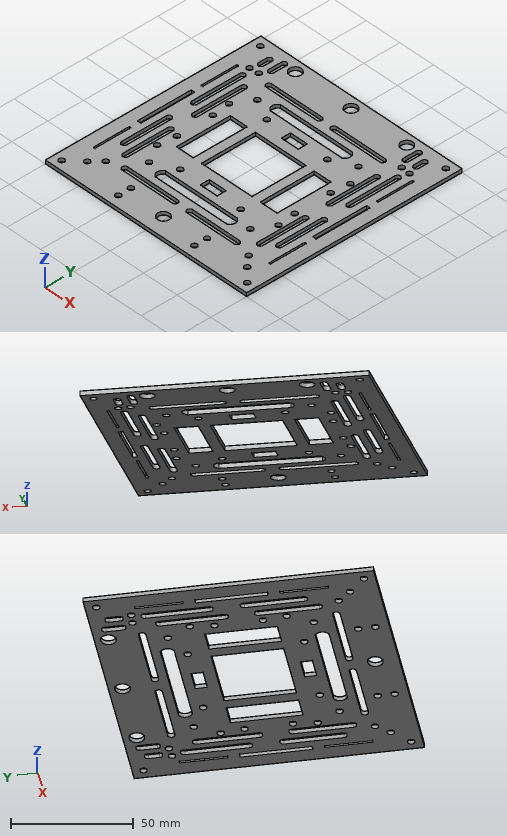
import cadquery as cq
import math

plate_side = 120.0
plate_thickness = 2.0

small_hole_diameter = 3.0
large_hole_diameter = 6.4
corner_hole_offset = 55.3
large_hole_x = 33.2
large_hole_top_y = 54.2
large_hole_bottom_y = -50.25
diagonal_hole_offset = 42.6
outer_hole_x = 47.7
outer_hole_top_y = 42.2
outer_hole_bottom_y = -48.2
lower_hole_x = 22.7
lower_hole_rows = (-47.2, -54.25)
mirrored_holes = ((30.15, 30.15), (18.05, 24.1), (36.2, 20.0), (35.1, 10.0))

slot_width = 3.0
wide_slot_width = 5.7
wide_slot_length = 46.4
wide_slot_end_radius = 3.2
wide_slot_y = 32.0
outer_slot_x = 46.25
inner_slot_x = 40.15
outer_slot_spans = ((-30.4, -2.6), (8.65, 38.4), (45.85, 53.35))
inner_slot_spans = ((-35.4, -7.4), (45.7, 55.8))
long_inner_slot_bottom = 3.4
left_inner_slot_top = 33.4
right_inner_slot_top = 32.4
row_slot_y = 40.1
left_row_slot_inner_x = 2.4
right_row_slot_inner_x = 3.3
row_slot_outer_x = 35.4
short_row_slot_outer_x = 34.4

window_length = 30.0
side_window_width = 10.0
side_window_x = 25.0
small_window_length = 10.0
small_window_width = 5.0
small_window_y = 22.6
edge_slit_x = 52.3
edge_slit_width = 2.0
thin_slit_width = 1.0
thin_slit_length = 20.0
thin_slit_y = 30.0


def mirror_x(x, y):
    """Return a point and its mirror image about the Y axis."""
    return [(x, y), (-x, y)]


def mirror_y(x, y):
    """Return a point and its mirror image about the X axis."""
    return [(x, y), (x, -y)]


def mirror_xy(x, y):
    """Return the four images of a point mirrored about both axes."""
    return mirror_x(x, y) + mirror_x(x, -y)


def cut_holes(body, points, diameter):
    cutter = cq.Workplane("XY").pushPoints(points).circle(diameter / 2).extrude(plate_thickness)
    return body.cut(cutter)


def cut_windows(body, points, size_x, size_y):
    cutter = cq.Workplane("XY").pushPoints(points).rect(size_x, size_y).extrude(plate_thickness)
    return body.cut(cutter)


def cut_column_slot(body, x, low, high):
    """Cut a vertical slot with round ends at the given heights."""
    length = high - low
    cutter = cq.Workplane("XY").center(x, (low + high) / 2).slot2D(length, slot_width, 90)
    return body.cut(cutter.extrude(plate_thickness))


def cut_row_slot(body, y, left, right):
    """Cut a horizontal slot with round ends at the given X positions."""
    length = right - left
    cutter = cq.Workplane("XY").center((left + right) / 2, y).slot2D(length, slot_width)
    return body.cut(cutter.extrude(plate_thickness))


def cut_wide_slot(body, y):
    """Cut a wide slot whose end arcs are flatter than half circles."""
    half_width = wide_slot_width / 2
    tip_x = wide_slot_length / 2
    arc_rise = wide_slot_end_radius - math.sqrt(wide_slot_end_radius**2 - half_width**2)
    corner_x = tip_x - arc_rise
    cutter = (
        cq.Workplane("XY")
        .center(0, y)
        .moveTo(-corner_x, -half_width)
        .lineTo(corner_x, -half_width)
        .threePointArc((tip_x, 0), (corner_x, half_width))
        .lineTo(-corner_x, half_width)
        .threePointArc((-tip_x, 0), (-corner_x, -half_width))
        .close()
        .extrude(plate_thickness)
    )
    return body.cut(cutter)


def cut_round_holes(body):
    small_points = mirror_xy(corner_hole_offset, corner_hole_offset)
    small_points += mirror_xy(diagonal_hole_offset, diagonal_hole_offset)
    small_points += mirror_x(outer_hole_x, outer_hole_top_y)
    small_points += mirror_x(outer_hole_x, outer_hole_bottom_y)
    for x, y in mirrored_holes:
        small_points += mirror_xy(x, y)
    for y in lower_hole_rows:
        small_points += mirror_x(lower_hole_x, y)
    body = cut_holes(body, small_points, small_hole_diameter)

    large_points = mirror_x(large_hole_x, large_hole_top_y)
    large_points += [(0, large_hole_top_y), (0, large_hole_bottom_y)]
    return cut_holes(body, large_points, large_hole_diameter)


def cut_slot_columns(body):
    for column_x, spans in ((outer_slot_x, outer_slot_spans), (inner_slot_x, inner_slot_spans)):
        for low, high in spans:
            for x in (-column_x, column_x):
                body = cut_column_slot(body, x, low, high)
    body = cut_column_slot(body, -inner_slot_x, long_inner_slot_bottom, left_inner_slot_top)
    return cut_column_slot(body, inner_slot_x, long_inner_slot_bottom, right_inner_slot_top)


def cut_slot_rows(body):
    for y in (-row_slot_y, row_slot_y):
        body = cut_row_slot(body, y, -row_slot_outer_x, -left_row_slot_inner_x)
    body = cut_row_slot(body, row_slot_y, right_row_slot_inner_x, row_slot_outer_x)
    body = cut_row_slot(body, -row_slot_y, right_row_slot_inner_x, short_row_slot_outer_x)
    for y in (-wide_slot_y, wide_slot_y):
        body = cut_wide_slot(body, y)
    return body


def cut_rectangles(body):
    body = cut_windows(body, [(0, 0)], window_length, window_length)
    body = cut_windows(body, mirror_x(side_window_x, 0), side_window_width, window_length)
    body = cut_windows(body, mirror_y(0, small_window_y), small_window_length, small_window_width)
    body = cut_windows(body, mirror_x(edge_slit_x, 0), edge_slit_width, window_length)
    return cut_windows(body, mirror_xy(edge_slit_x, thin_slit_y), thin_slit_width, thin_slit_length)


plate = cq.Workplane("XY").box(plate_side, plate_side, plate_thickness, centered=(True, True, False))
plate = cut_round_holes(plate)
plate = cut_slot_columns(plate)
plate = cut_slot_rows(plate)
result = cut_rectangles(plate)